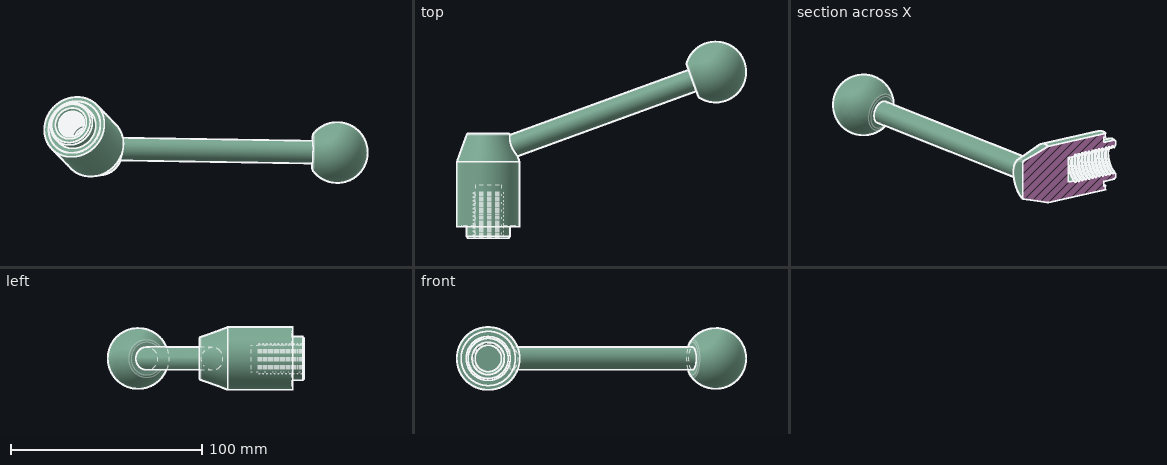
import cadquery as cq
import math

HUB_DIAMETER = 33.0
HUB_FRONT_Y = 6.0
CONE_START_Y = 40.0
HUB_TOP_Y = 55.0
TOP_EDGE_FILLET = 1.0
RECESS_DIAMETER = 28.4
RECESS_DEPTH = 1.0

SLEEVE_DIAMETER = 23.0
SLEEVE_CHAMFER = 1.0

THREAD_DIAMETER = 16.0
THREAD_PITCH = 2.0
THREAD_CORE_DIAMETER = 13.835
THREAD_FLANK_ANGLE = 30.0
THREAD_ENTRY_DIAMETER = 17.0
THREAD_ENTRY_ANGLE = 120.0
ENTRY_LAND = 0.1
BORE_DEPTH = 28.0
GROOVE_COUNT = 12

HANDLE_ANGLE = 20.0
ROD_DIAMETER = 12.0
BALL_DIAMETER = 32.0
BALL_CENTER_X = 119.0
BALL_CENTER_Y = 87.0
BALL_FLAT_OFFSET = 13.0
BALL_FLAT_FILLET = 2.0

HUB_RADIUS = HUB_DIAMETER / 2
SLEEVE_RADIUS = SLEEVE_DIAMETER / 2
CONE_TOP_RADIUS = HUB_RADIUS - (HUB_TOP_Y - CONE_START_Y) * math.tan(math.radians(HANDLE_ANGLE))


def make_hub():
    """Cylinder with a conical top, a recessed front face and a projecting sleeve."""
    recess_floor_y = HUB_FRONT_Y + RECESS_DEPTH
    profile = [
        (0, 0),
        (SLEEVE_RADIUS - SLEEVE_CHAMFER, 0),
        (SLEEVE_RADIUS, SLEEVE_CHAMFER),
        (SLEEVE_RADIUS, recess_floor_y),
        (RECESS_DIAMETER / 2, recess_floor_y),
        (RECESS_DIAMETER / 2, HUB_FRONT_Y),
        (HUB_RADIUS, HUB_FRONT_Y),
        (HUB_RADIUS, CONE_START_Y),
        (CONE_TOP_RADIUS, HUB_TOP_Y),
        (0, HUB_TOP_Y),
    ]
    hub = cq.Workplane("XY").polyline(profile).close().revolve(360, (0, 0), (0, 1))
    return hub.faces(">Y").edges().fillet(TOP_EDGE_FILLET)


def make_thread_cutter():
    """Bore with a chamfered entry and evenly spaced, flat-rooted V grooves."""
    core_radius = THREAD_CORE_DIAMETER / 2
    entry_radius = THREAD_ENTRY_DIAMETER / 2
    root_radius = THREAD_DIAMETER / 2
    entry_depth = (entry_radius - core_radius) / math.tan(math.radians(THREAD_ENTRY_ANGLE / 2))
    flank_width = (root_radius - core_radius) * math.tan(math.radians(THREAD_FLANK_ANGLE))
    root_half_width = THREAD_PITCH / 16
    groove_half_width = root_half_width + flank_width

    profile = [(0, 0), (entry_radius, 0), (core_radius, entry_depth)]
    for index in range(GROOVE_COUNT):
        groove_y = entry_depth + groove_half_width + ENTRY_LAND + index * THREAD_PITCH
        profile += [
            (core_radius, groove_y - groove_half_width),
            (root_radius, groove_y - root_half_width),
            (root_radius, groove_y + root_half_width),
            (core_radius, groove_y + groove_half_width),
        ]
    profile += [(core_radius, BORE_DEPTH), (0, BORE_DEPTH)]
    return cq.Workplane("XY").polyline(profile).close().revolve(360, (0, 0), (0, 1))


def make_handle():
    """Rod and flat-backed ball built along X with the ball at the origin, then tilted into place."""
    ball_radius = BALL_DIAMETER / 2
    flat_radius = math.sqrt(ball_radius**2 - BALL_FLAT_OFFSET**2)
    rim_angle = math.atan2(flat_radius, -BALL_FLAT_OFFSET)
    arc_middle = (ball_radius * math.cos(rim_angle / 2), ball_radius * math.sin(rim_angle / 2))
    ball = (
        cq.Workplane("XY")
        .moveTo(-BALL_FLAT_OFFSET, 0)
        .lineTo(-BALL_FLAT_OFFSET, flat_radius)
        .threePointArc(arc_middle, (ball_radius, 0))
        .close()
        .revolve(360, (0, 0), (1, 0))
        .faces("<X")
        .edges()
        .fillet(BALL_FLAT_FILLET)
    )
    rod_length = BALL_CENTER_X / math.cos(math.radians(HANDLE_ANGLE))
    rod = cq.Workplane("YZ").circle(ROD_DIAMETER / 2).extrude(-rod_length)
    handle = ball.union(rod).rotate((0, 0, 0), (0, 0, 1), HANDLE_ANGLE)
    return handle.translate((BALL_CENTER_X, BALL_CENTER_Y, 0))


result = make_hub().union(make_handle()).cut(make_thread_cutter())